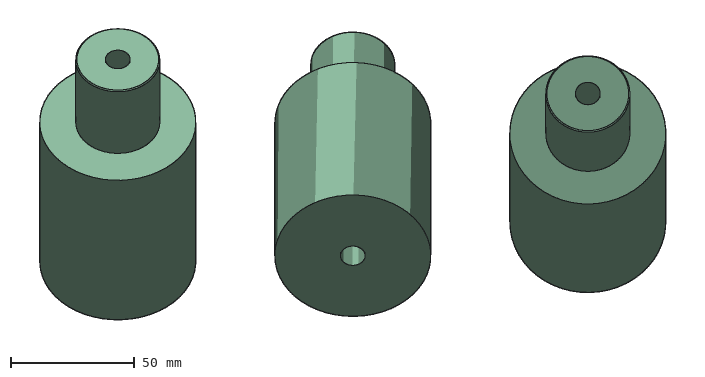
import cadquery as cq

total_height = 123.0
body_diameter = 63.0
body_height = 85.0
spigot_diameter = 34.0
bore_diameter = 10.0
spigot_chamfer = 0.5

spigot_height = total_height - body_height

body = cq.Workplane("XY").circle(body_diameter / 2).extrude(body_height)

spigot = (
    cq.Workplane("XY")
    .workplane(offset=body_height)
    .circle(spigot_diameter / 2)
    .extrude(spigot_height)
    .faces(">Z")
    .edges()
    .chamfer(spigot_chamfer)
)

bore = cq.Workplane("XY").circle(bore_diameter / 2).extrude(total_height)

result = body.union(spigot).cut(bore)